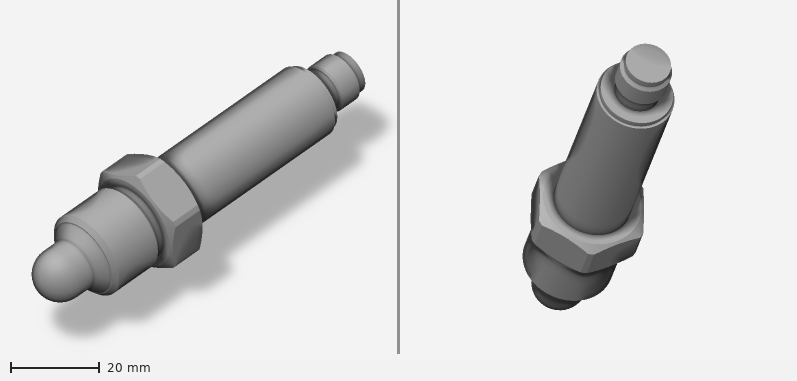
import cadquery as cq
import math

LENGTH = 97.75
TIP_END_Y = -LENGTH / 2
CONNECTOR_END_Y = LENGTH / 2

TIP_DIAMETER = 12.8
TIP_LENGTH = 10.8
CONE_LENGTH = 2.9
CONE_BASE_DIAMETER = 18.0

THREAD_DIAMETER = 20.9
THREAD_LENGTH = 14.5
NECK_DIAMETER = 18.7
NECK_LENGTH = 1.7
THREAD_CHAMFER = (THREAD_DIAMETER - NECK_DIAMETER) / 2

HEX_ACROSS_FLATS = 24.0
HEX_CORNER_DIAMETER = 27.0
HEX_FACE_DIAMETER = 22.8
HEX_WIDTH = 10.2
HEX_CHAMFER_ANGLE = 30.0

BODY_DIAMETER = 18.0
COLLAR_DIAMETER = 16.7
COLLAR_LENGTH = 1.4
CONNECTOR_DIAMETER = 10.5
CONNECTOR_LENGTH = 11.9
RING_DIAMETER = 12.0
RING_OFFSET = 1.8
RING_LENGTH = 6.5
RING_FRONT_CHAMFER = 0.5
RING_REAR_CHAMFER = (RING_DIAMETER - CONNECTOR_DIAMETER) / 2

tip_radius = TIP_DIAMETER / 2
ball_center_y = TIP_END_Y + tip_radius
cone_start_y = TIP_END_Y + TIP_LENGTH
thread_start_y = cone_start_y + CONE_LENGTH
thread_end_y = thread_start_y + THREAD_LENGTH
hex_start_y = thread_end_y + NECK_LENGTH
hex_end_y = hex_start_y + HEX_WIDTH
connector_start_y = CONNECTOR_END_Y - CONNECTOR_LENGTH
collar_start_y = connector_start_y - COLLAR_LENGTH
ring_end_y = CONNECTOR_END_Y - RING_OFFSET
ring_start_y = ring_end_y - RING_LENGTH


def revolve_about_y(profile):
    """Turn a closed half profile in the XY plane about the Y axis."""
    return profile.close().revolve(360, (0, 0, 0), (0, 1, 0))


def cylinder(diameter, start_y, end_y):
    """Solid cylinder on the Y axis between two stations."""
    profile = cq.Workplane("XY").moveTo(0, start_y).lineTo(diameter / 2, start_y)
    return revolve_about_y(profile.lineTo(diameter / 2, end_y).lineTo(0, end_y))


def barrel(diameter, start_y, end_y, start_face, end_face, start_depth, end_depth):
    """Cylinder with a cone at each end, narrowing to the given face diameters."""
    profile = (
        cq.Workplane("XY")
        .moveTo(0, start_y)
        .lineTo(start_face / 2, start_y)
        .lineTo(diameter / 2, start_y + start_depth)
        .lineTo(diameter / 2, end_y - end_depth)
        .lineTo(end_face / 2, end_y)
        .lineTo(0, end_y)
    )
    return revolve_about_y(profile)


def ball_tip():
    """Hemisphere, short cylinder and cone up to the threaded section."""
    arc_offset = tip_radius * math.sqrt(0.5)
    profile = (
        cq.Workplane("XY")
        .moveTo(0, TIP_END_Y)
        .threePointArc((arc_offset, ball_center_y - arc_offset), (tip_radius, ball_center_y))
        .lineTo(tip_radius, cone_start_y)
        .lineTo(CONE_BASE_DIAMETER / 2, thread_start_y)
        .lineTo(0, thread_start_y)
    )
    return revolve_about_y(profile)


def threaded_section():
    return barrel(
        THREAD_DIAMETER, thread_start_y, thread_end_y,
        NECK_DIAMETER, NECK_DIAMETER, THREAD_CHAMFER, THREAD_CHAMFER,
    )


def hexagon():
    """Hexagonal prism, corners toward +Z and -Z, trimmed by a chamfered cylinder."""
    across_corners = HEX_ACROSS_FLATS / math.cos(math.radians(30))
    prism = (
        cq.Workplane("XZ", origin=(0, hex_end_y, 0))
        .transformed(rotate=(0, 0, 90))
        .polygon(6, across_corners)
        .extrude(HEX_WIDTH)
    )
    chamfer_radial = (HEX_CORNER_DIAMETER - HEX_FACE_DIAMETER) / 2
    chamfer_depth = chamfer_radial * math.tan(math.radians(HEX_CHAMFER_ANGLE))
    envelope = barrel(
        HEX_CORNER_DIAMETER, hex_start_y, hex_end_y,
        HEX_FACE_DIAMETER, HEX_FACE_DIAMETER, chamfer_depth, chamfer_depth,
    )
    return prism.intersect(envelope)


def connector():
    """Stepped connector end with a chamfered ring around it."""
    ring = barrel(
        RING_DIAMETER, ring_start_y, ring_end_y,
        RING_DIAMETER - 2 * RING_FRONT_CHAMFER, CONNECTOR_DIAMETER,
        RING_FRONT_CHAMFER, RING_REAR_CHAMFER,
    )
    return cylinder(CONNECTOR_DIAMETER, connector_start_y, CONNECTOR_END_Y).union(ring)


result = (
    ball_tip()
    .union(threaded_section())
    .union(cylinder(NECK_DIAMETER, thread_end_y, hex_start_y))
    .union(hexagon())
    .union(cylinder(BODY_DIAMETER, hex_end_y, collar_start_y))
    .union(cylinder(COLLAR_DIAMETER, collar_start_y, connector_start_y))
    .union(connector())
)